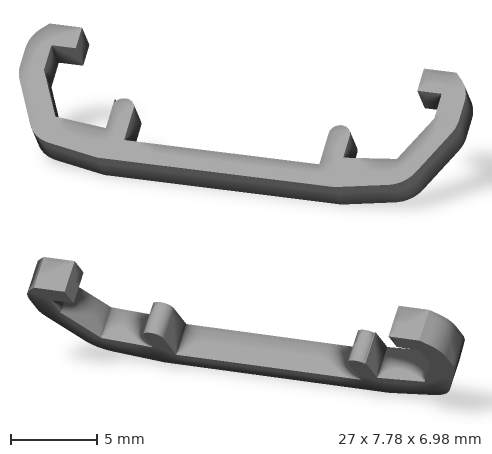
import cadquery as cq
import math

tilt_angle = 40.0
thickness = 2.0
overall_width = 27.0

bar_width = 14.6
bar_height = 1.37
prong_width = 1.3
prong_height = 4.1
prong_corner_radius = 0.6
prong_crown_half_width = 0.285

sliver_width = 0.04
sliver_top = 3.98

left_arm_height = 8.38
right_arm_height = 8.477
hook_inner_height = 6.97
wall_thickness = 1.5
hook_length = 3.0
hook_chamfer = 1.0
arm_root_height = 2.0
elbow_x = 11.42
elbow_y = 0.76
inner_elbow_y = 2.35
outer_wall_bottom = 4.9
inner_wall_bottom = 5.3
arm_bend_radius = 2.0

bar_end = bar_width / 2
prong_center = bar_end - prong_width / 2
arm_end = overall_width / 2
inner_wall = arm_end - wall_thickness
hook_tip = arm_end - hook_length

prong_half_width = prong_width / 2
corner_center_offset = prong_half_width - prong_corner_radius
crown_angle = math.asin((prong_crown_half_width - corner_center_offset) / prong_corner_radius)
crown_radius = prong_crown_half_width / math.sin(crown_angle)
crown_end_y = prong_height - crown_radius * (1 - math.cos(crown_angle))
tip_start_y = crown_end_y - prong_corner_radius * math.cos(crown_angle)
corner_middle_angle = (math.pi / 2 + crown_angle) / 2
corner_middle_x = corner_center_offset + prong_corner_radius * math.sin(corner_middle_angle)
corner_middle_y = tip_start_y + prong_corner_radius * math.cos(corner_middle_angle)

profile_plane = cq.Plane(origin=(0, 0, 0)).rotated((tilt_angle, 0, 0))


def make_prong(center_x):
    """Upright prong with a rounded tip."""
    return (
        cq.Workplane(profile_plane)
        .moveTo(center_x - prong_half_width, 0)
        .lineTo(center_x + prong_half_width, 0)
        .lineTo(center_x + prong_half_width, tip_start_y)
        .threePointArc(
            (center_x + corner_middle_x, corner_middle_y),
            (center_x + prong_crown_half_width, crown_end_y),
        )
        .threePointArc((center_x, prong_height), (center_x - prong_crown_half_width, crown_end_y))
        .threePointArc(
            (center_x - corner_middle_x, corner_middle_y),
            (center_x - prong_half_width, tip_start_y),
        )
        .close()
        .extrude(thickness)
    )


def make_bar():
    """Straight bar with a prong standing at each end."""
    bar = (
        cq.Workplane(profile_plane)
        .center(0, bar_height / 2)
        .rect(bar_width, bar_height)
        .extrude(thickness)
    )
    for side in (-1, 1):
        bar = bar.union(make_prong(side * prong_center))
    return bar.clean()


def make_sliver(bar):
    """Sliver filling the gap between the rounded tip of the -X prong and its outer side."""
    blank = (
        cq.Workplane(profile_plane)
        .moveTo(-bar_end, tip_start_y)
        .lineTo(sliver_width - bar_end, tip_start_y)
        .lineTo(sliver_width - bar_end, sliver_top)
        .lineTo(-bar_end, sliver_top)
        .close()
        .extrude(thickness)
    )
    return blank.cut(bar)


def make_arm(side, height):
    """Hooked arm on the given side of the bar: -1 for -X, 1 for +X."""
    outer_bends = [
        (elbow_x, elbow_y),
        (arm_end, outer_wall_bottom),
        (arm_end, height - hook_chamfer),
    ]
    outline = [
        (bar_end, 0),
        *outer_bends,
        (arm_end - hook_chamfer, height),
        (hook_tip, height),
        (hook_tip, hook_inner_height),
        (inner_wall, hook_inner_height),
        (inner_wall, inner_wall_bottom),
        (hook_tip, inner_elbow_y),
        (bar_end, arm_root_height),
    ]
    arm = cq.Workplane(profile_plane).polyline([(side * x, y) for x, y in outline]).close().extrude(thickness)
    for x, y in outer_bends:
        bend_edge_middle = profile_plane.toWorldCoords((side * x, y, thickness / 2))
        bend_edge = cq.selectors.NearestToPointSelector(bend_edge_middle.toTuple())
        arm = arm.edges(bend_edge).fillet(arm_bend_radius)
    return arm


bar = make_bar()
sliver = make_sliver(bar)
left_arm = make_arm(-1, left_arm_height)
right_arm = make_arm(1, right_arm_height)

result = cq.Compound.makeCompound([bar.val(), sliver.val(), left_arm.val(), right_arm.val()])